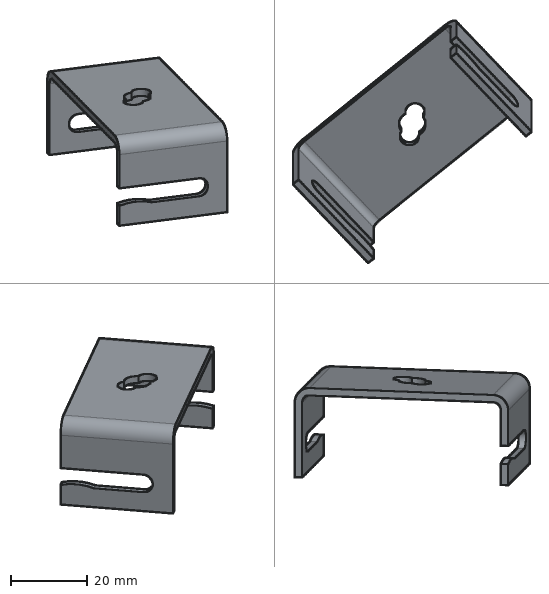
import cadquery as cq

length = 57.0
width = 30.0
height = 24.0
thickness = 2.0
outer_bend_radius = 2 * thickness
inner_bend_radius = outer_bend_radius - thickness

slot_radius = 2.5
slot_center_z = 8.0
slot_end_margin = 5.4
bump_length = 8.95
bump_height = 0.75
bump_peak_from_end = 4.3
bump_end_height = 0.15

hole_radius = 3.5
lobe_radius = 2.5
lobe_offset_x = 2.85
lobe_offset_y = 2.1


def channel():
    """Bent sheet with its legs standing on Z = 0."""
    outer = (
        cq.Workplane("XY")
        .box(length, width, height, centered=(True, True, False))
        .edges("|Y and >Z")
        .fillet(outer_bend_radius)
    )
    inner = (
        cq.Workplane("XY")
        .box(length - 2 * thickness, width, height - thickness, centered=(True, True, False))
        .edges("|Y and >Z")
        .fillet(inner_bend_radius)
    )
    return outer.cut(inner)


def left_leg_slot():
    """Cutter for the -X leg: round at its -Y end, open at +Y over a humped lower edge."""
    open_y = width / 2
    round_center_y = -width / 2 + slot_end_margin + slot_radius
    bottom_z = slot_center_z - slot_radius
    top_z = slot_center_z + slot_radius
    return (
        cq.Workplane("YZ", origin=(-length / 2, 0, 0))
        .moveTo(open_y, top_z)
        .lineTo(round_center_y, top_z)
        .threePointArc((round_center_y - slot_radius, slot_center_z), (round_center_y, bottom_z))
        .lineTo(open_y - bump_length, bottom_z)
        .threePointArc(
            (open_y - bump_peak_from_end, bottom_z + bump_height),
            (open_y, bottom_z + bump_end_height),
        )
        .close()
        .extrude(thickness)
    )


def keyhole():
    """Cutter through the top web, with the lobes on opposite sides of the round hole."""
    web = cq.Workplane("XY", origin=(0, 0, height - thickness))
    lobe_centers = [(-lobe_offset_x, lobe_offset_y), (lobe_offset_x, -lobe_offset_y)]
    lobes = web.pushPoints(lobe_centers).circle(lobe_radius).extrude(thickness)
    return web.circle(hole_radius).extrude(thickness).union(lobes)


result = channel().cut(keyhole())
for turn in (0, 180):
    result = result.cut(left_leg_slot().rotate((0, 0, 0), (0, 0, 1), turn))